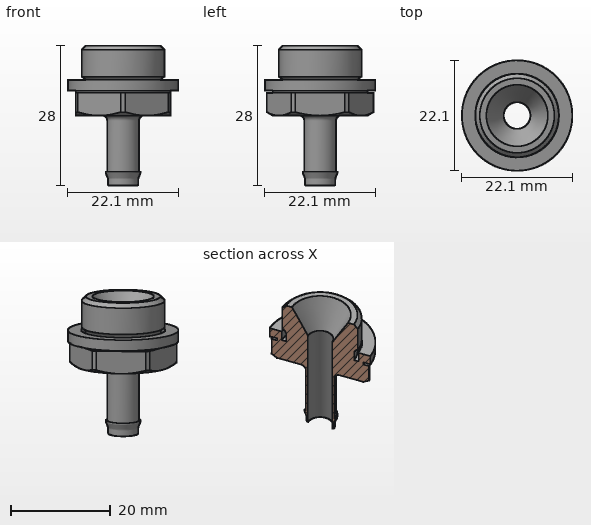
import cadquery as cq
import math

total_height = 28.0

tail_diameter = 6.4
tail_root_radius = 1.0
tip_diameter = 6.1
tip_edge_radius = 0.25
barb_diameter = 7.0
barb_top = 2.77
barb_land_bottom = 2.52
barb_cone_bottom = 1.37
barb_edge_radius = 0.08
barb_foot_radius = 0.5

hex_across_flats = 19.0
hex_corner_diameter = 21.45
hex_bottom = 14.0
hex_top = 18.55
hex_chamfer_angle = 30.0

collar_diameter = hex_across_flats
collar_top = 18.95
ring_outer_diameter = 22.15
ring_inner_diameter = 16.8
ring_top = 21.15

spigot_diameter = 16.65
spigot_bottom = 21.78
spigot_chamfer = 0.87
undercut_diameter = 15.05
undercut_slope = 30.0
undercut_radius = 1.0

bore_diameter = 5.3
mouth_diameter = 12.32
funnel_angle = 60.0


def cylinder(diameter, bottom, top):
    return cq.Workplane("XY").workplane(offset=bottom).circle(diameter / 2).extrude(top - bottom)


def revolve_profile(points):
    """Revolve a closed (radius, z) outline around the Z axis."""
    return cq.Workplane("XZ").polyline(points).close().revolve(360, (0, 0), (0, 1))


def edge_circles_at(z):
    margin = 0.003
    return cq.selectors.BoxSelector(
        (-barb_diameter, -barb_diameter, z - margin), (barb_diameter, barb_diameter, z + margin)
    )


def make_hose_tail():
    tail = revolve_profile([
        (0, 0),
        (tip_diameter / 2, 0),
        (tip_diameter / 2, barb_cone_bottom),
        (barb_diameter / 2, barb_land_bottom),
        (barb_diameter / 2, barb_top),
        (tail_diameter / 2, barb_top),
        (tail_diameter / 2, hex_bottom),
        (0, hex_bottom),
    ])
    tail = tail.edges(edge_circles_at(0)).fillet(tip_edge_radius)
    tail = tail.edges(edge_circles_at(barb_cone_bottom)).fillet(barb_foot_radius)
    tail = tail.edges(edge_circles_at(barb_land_bottom)).fillet(barb_edge_radius)
    outer_rim = cq.selectors.RadiusNthSelector(-1)
    return tail.edges(edge_circles_at(barb_top)).edges(outer_rim).fillet(barb_edge_radius)


def make_root_fillet():
    """Concave flare joining the tail to the underside of the hexagon."""
    tail_radius = tail_diameter / 2
    arc_offset = tail_root_radius * (1 - math.sqrt(0.5))
    return (
        cq.Workplane("XZ")
        .moveTo(0, hex_bottom - tail_root_radius)
        .lineTo(tail_radius, hex_bottom - tail_root_radius)
        .threePointArc(
            (tail_radius + arc_offset, hex_bottom - arc_offset),
            (tail_radius + tail_root_radius, hex_bottom),
        )
        .lineTo(0, hex_bottom)
        .close()
        .revolve(360, (0, 0), (0, 1))
    )


def make_hexagon():
    """Hexagon with turned-down corners and a conical lower chamfer."""
    height = hex_top - hex_bottom
    corner_to_corner = hex_across_flats / math.cos(math.radians(30))
    prism = (
        cq.Workplane("XY")
        .workplane(offset=hex_bottom)
        .transformed(rotate=(0, 0, 90))
        .polygon(6, corner_to_corner)
        .extrude(height)
    )
    chamfer_width = (hex_corner_diameter - hex_across_flats) / 2
    chamfer_height = chamfer_width * math.tan(math.radians(hex_chamfer_angle))
    envelope = revolve_profile([
        (0, hex_bottom),
        (hex_across_flats / 2, hex_bottom),
        (hex_corner_diameter / 2, hex_bottom + chamfer_height),
        (hex_corner_diameter / 2, hex_top),
        (0, hex_top),
    ])
    return prism.intersect(envelope)


def make_sealing_ring():
    ring = cylinder(ring_outer_diameter, collar_top, ring_top)
    return ring.cut(cylinder(ring_inner_diameter, collar_top, ring_top))


def make_spigot():
    """Chamfered spigot whose lower end runs down a cone and an arc into the undercut neck."""
    spigot_radius = spigot_diameter / 2
    neck_radius = undercut_diameter / 2
    slope = math.radians(undercut_slope)
    middle_angle = (math.pi / 2 - slope) / 2
    cone_end_radius = neck_radius + undercut_radius * (1 - math.sin(slope))
    cone_end_z = spigot_bottom - (spigot_radius - cone_end_radius) * math.tan(slope)
    arc_center_radius = neck_radius + undercut_radius
    arc_center_z = cone_end_z - undercut_radius * math.cos(slope)
    return (
        cq.Workplane("XZ")
        .moveTo(0, collar_top)
        .lineTo(neck_radius, collar_top)
        .lineTo(neck_radius, arc_center_z)
        .threePointArc(
            (
                arc_center_radius - undercut_radius * math.cos(middle_angle),
                arc_center_z + undercut_radius * math.sin(middle_angle),
            ),
            (cone_end_radius, cone_end_z),
        )
        .lineTo(spigot_radius, spigot_bottom)
        .lineTo(spigot_radius, total_height - spigot_chamfer)
        .lineTo(spigot_radius - spigot_chamfer, total_height)
        .lineTo(0, total_height)
        .close()
        .revolve(360, (0, 0), (0, 1))
    )


def make_bore():
    funnel_depth = (mouth_diameter - bore_diameter) / 2 / math.tan(math.radians(funnel_angle / 2))
    return revolve_profile([
        (0, 0),
        (bore_diameter / 2, 0),
        (bore_diameter / 2, total_height - funnel_depth),
        (mouth_diameter / 2, total_height),
        (0, total_height),
    ])


result = (
    make_hose_tail()
    .union(make_root_fillet())
    .union(make_hexagon())
    .union(cylinder(collar_diameter, hex_top, collar_top))
    .union(make_sealing_ring())
    .union(make_spigot())
    .cut(make_bore())
)